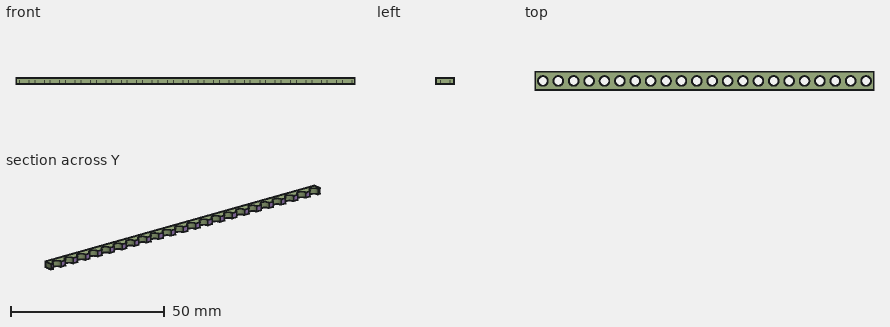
import cadquery as cq

hole_count = 22
hole_pitch = 5.0
hole_diameter = 3.1
strip_width = 6.0
strip_thickness = 2.0

strip_length = hole_count * hole_pitch


def make_strip():
    """Plain rectangular bar."""
    return cq.Workplane("XY").box(
        strip_length, strip_width, strip_thickness, centered=(True, True, False)
    )


def drill_holes(strip):
    """Cut the single row of through holes along the strip's centreline."""
    return (
        strip.faces(">Z")
        .workplane()
        .rarray(hole_pitch, strip_width, hole_count, 1)
        .hole(hole_diameter)
    )


result = drill_holes(make_strip())